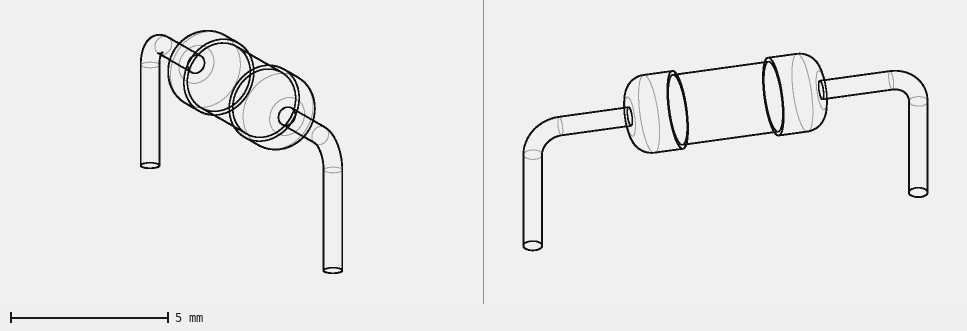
import cadquery as cq


body_length = 6.3
cap_diameter = 2.5
barrel_diameter = 2.25
lead_diameter = 0.6
lead_pitch = 12.7
lead_depth = 3.0

cap_length = body_length / 4
cap_rounding = cap_diameter / 4
bend_radius = 1.5 * lead_diameter
axis_height = cap_diameter / 2
body_start = (lead_pitch - body_length) / 2
body_end = body_start + body_length


def cylinder_along_x(start, length, diameter):
    """Cylinder on the body axis, growing towards +X from the given start."""
    plane = cq.Workplane("YZ", origin=(start, 0, axis_height))
    return plane.circle(diameter / 2).extrude(length)


def make_body():
    """Barrel between two wider end caps, each rounded on its outer edge."""
    barrel_length = body_length - 2 * cap_length
    barrel = cylinder_along_x(body_start + cap_length, barrel_length, barrel_diameter)
    left_cap = cylinder_along_x(body_start, cap_length, cap_diameter)
    left_cap = left_cap.faces("<X").edges().fillet(cap_rounding)
    right_cap = cylinder_along_x(body_end - cap_length, cap_length, cap_diameter)
    right_cap = right_cap.faces(">X").edges().fillet(cap_rounding)
    return barrel.union(left_cap).union(right_cap)


def make_lead(foot_x, body_face_x):
    """Round wire rising from its foot and bending over to meet a body end face."""
    inward = 1 if body_face_x > foot_x else -1
    bend_bottom = axis_height - bend_radius
    path = (
        cq.Workplane("XZ")
        .moveTo(foot_x, -lead_depth)
        .lineTo(foot_x, bend_bottom)
        .tangentArcPoint((foot_x + inward * bend_radius, axis_height), relative=False)
        .lineTo(body_face_x, axis_height)
    )
    foot = cq.Workplane("XY", origin=(foot_x, 0, -lead_depth))
    return foot.circle(lead_diameter / 2).sweep(path)


left_lead = make_lead(0, body_start)
right_lead = make_lead(lead_pitch, body_end)
result = make_body().union(left_lead).union(right_lead)